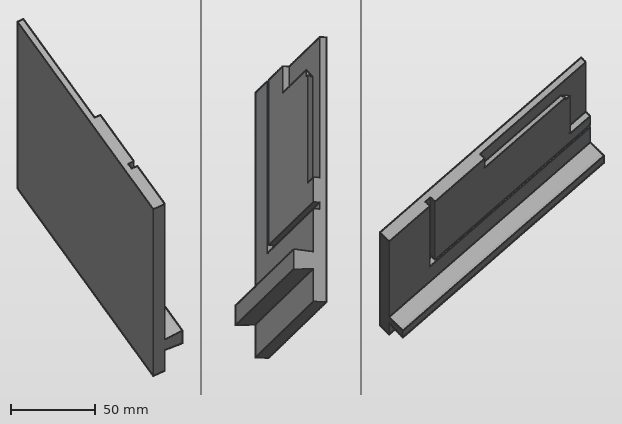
import cadquery as cq

plate_width = 162.0
plate_height = 160.0
plate_thickness = 8.0

overall_depth = 20.0
rail_center_z = 25.0
rail_root_height = 10.2
rail_tip_height = 12.0
rail_tip_land = 2.0

recess_depth = 3.9
rebate_length = 85.0
rebate_width = 20.0
lip_overhang = recess_depth

channel_width = 4.0
channel_from_left = 125.0
channel_from_top = 100.0

floor_y = plate_thickness - recess_depth


def back_cut(x_start, x_end, drop_start, drop_end):
    """Box cut into the back face; drops are measured down from the top edge."""
    return cq.Workplane("XY").box(
        x_end - x_start, recess_depth, drop_end - drop_start, centered=False
    ).translate((x_start, floor_y, plate_height - drop_end))


def make_plate():
    return cq.Workplane("XY").box(plate_width, plate_thickness, plate_height, centered=False)


def make_rail():
    """Rail that flares from its root to a flat-sided land at the tip."""
    half_root = rail_root_height / 2
    half_tip = rail_tip_height / 2
    land_y = overall_depth - rail_tip_land
    profile = [
        (plate_thickness, rail_center_z - half_root),
        (land_y, rail_center_z - half_tip),
        (overall_depth, rail_center_z - half_tip),
        (overall_depth, rail_center_z + half_tip),
        (land_y, rail_center_z + half_tip),
        (plate_thickness, rail_center_z + half_root),
    ]
    return cq.Workplane("YZ").polyline(profile).close().extrude(plate_width)


def make_rebate():
    """Two bands that meet in the open top left corner."""
    top_band = back_cut(0, rebate_length, 0, rebate_width)
    left_band = back_cut(0, rebate_width, 0, rebate_length)
    return top_band.union(left_band)


def make_lips():
    """Wedges that overhang the inner sides of the rebate and stop square at its corner."""
    lip_length = rebate_length - rebate_width
    inner_z = plate_height - rebate_width
    top_lip = (
        cq.Workplane("YZ", origin=(rebate_width, 0, 0))
        .polyline([
            (floor_y, inner_z),
            (plate_thickness, inner_z),
            (plate_thickness, inner_z + lip_overhang),
        ])
        .close()
        .extrude(lip_length)
    )
    left_lip = (
        cq.Workplane("XY", origin=(0, 0, inner_z))
        .polyline([
            (rebate_width, floor_y),
            (rebate_width, plate_thickness),
            (rebate_width - lip_overhang, plate_thickness),
        ])
        .close()
        .extrude(-lip_length)
    )
    return top_lip.union(left_lip)


def make_channel():
    """Straight-sided groove from the top edge down, then across to the left edge."""
    far_x = channel_from_left + channel_width
    far_drop = channel_from_top + channel_width
    down_leg = back_cut(channel_from_left, far_x, 0, far_drop)
    across_leg = back_cut(0, far_x, channel_from_top, far_drop)
    return down_leg.union(across_leg)


result = (
    make_plate()
    .cut(make_rebate())
    .cut(make_channel())
    .union(make_lips())
    .union(make_rail())
)